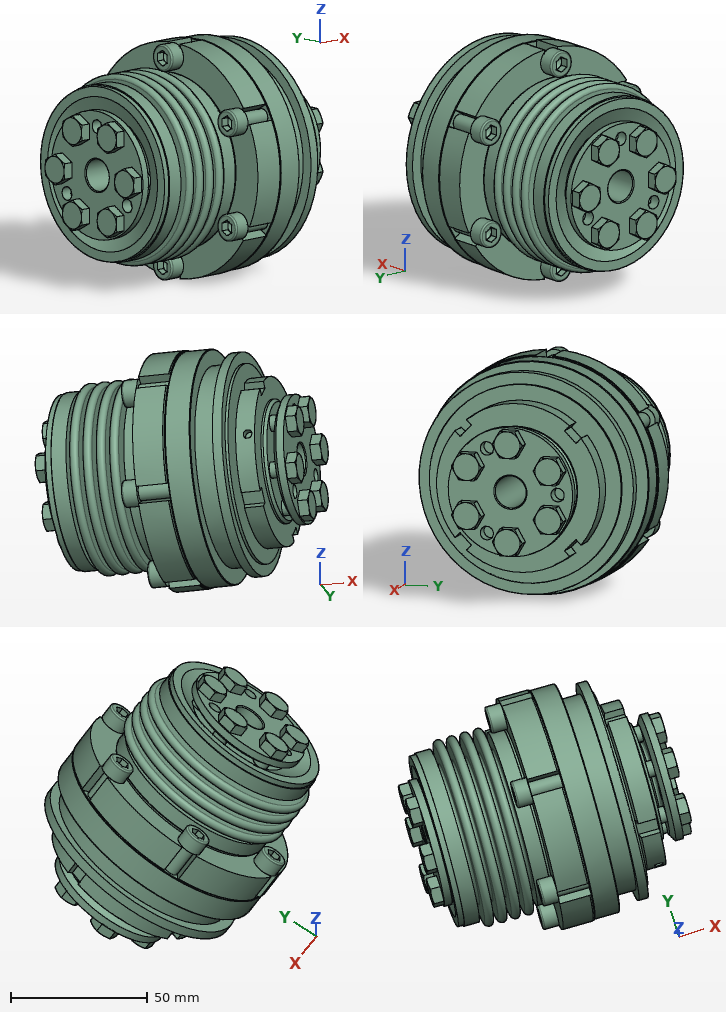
import cadquery as cq
import math

length = 99.0

head_height = 4.0
plate_diameter = 48.0
plate_thickness = 4.5
plate_rim = 2.9
plate_nose_diameter = 42.4
bore_diameter = 12.0
bore_chamfer = 0.4

bolt_circle = 36.4
bolt_count = 6
bolt_diameter = 6.0
hex_flats = 10.0
hex_chamfer = 0.3
jack_diameter = 5.0
jack_count = 3

hub_start = 6.7
hub_rim_diameter = 65.0
hub_flange_start = 8.9
hub_flange_diameter = 66.0
recess_diameter = 57.6
recess_floor_diameter = 41.6
recess_depth = 4.2
recess_floor = hub_start + recess_depth

bellows_start = 14.7
bellows_end = 36.7
bellows_diameter = 71.1
root_diameter = 52.3
convolution_count = 4
convolution_width = 3.4

bellows_flange_end = 42.5
slotted_start = 43.4
slotted_diameter = 88.0
slotted_step = 54.8
slotted_step_diameter = 87.7
slotted_end = 55.4
drive_diameter = 87.1
drive_end = 65.1
drive_chamfer = 0.3
bearing_diameter = 74.7
bearing_end = 73.1
flange_diameter = 82.8
flange_end = 76.6
shoulder_diameter = 74.1
shoulder_end = 77.7

screw_circle = 78.0
screw_count = 6
screw_diameter = 6.0
screw_head_diameter = 10.0
screw_head_height = 5.9
screw_head_fillet = 0.6
socket_flats = 5.0
socket_depth = 3.0
socket_cone_depth = 1.7
slot_width = 6.4

nut_start = 79.0
nut_end = 86.2
nut_diameter = 62.9
nut_face_diameter = 51.5
nut_notch_width = 6.2
nut_notch_count = 4
nut_notch_floor = 28.5
nut_hole_diameter = 3.3
nut_hole_depth = 3.0
nut_hole_x = 83.6

hub_diameter = 46.0
hub_end = length - recess_floor
hub_chamfer = 1.1
sleeve_diameter = 28.5
sleeve_taper_length = 1.1
sleeve_taper_depth = 2.5
sleeve_root_fillet = 0.5


def turned(points):
    """Revolve a closed outline of (x, radius) points about the X axis."""
    return cq.Workplane("XY").polyline(points).close().revolve(360, (0, 0, 0), (1, 0, 0))


def rod(x_start, x_end, diameter):
    """Cylinder on the X axis."""
    return cq.Workplane("YZ", origin=(x_start, 0, 0)).circle(diameter / 2).extrude(x_end - x_start)


def hexagon(x_start, x_end, flats):
    """Hexagonal prism on the X axis with corners at the top and bottom."""
    corners = flats / math.cos(math.pi / 6)
    prism = cq.Workplane("YZ").polygon(6, corners).extrude(x_end - x_start)
    return prism.rotate((0, 0, 0), (1, 0, 0), 90).translate((x_start, 0, 0))


def around(shape, circle, count, start_angle):
    """Copies of a shape spread round a circle, keeping their own orientation."""
    copies = cq.Workplane("XY")
    for index in range(count):
        angle = math.radians(start_angle + index * 360 / count)
        place = (0, circle / 2 * math.cos(angle), circle / 2 * math.sin(angle))
        copies = copies.add(shape.translate(place))
    return copies.combine()


def turned_about(shape, count, start_angle):
    """Copies of a shape spread round the X axis, turning with their angle from +Y."""
    copies = cq.Workplane("XY")
    for index in range(count):
        angle = start_angle + index * 360 / count
        copies = copies.add(shape.rotate((0, 0, 0), (1, 0, 0), angle))
    return copies.combine()


def mirrored_end(shape):
    """Right-hand copy of a left-hand clamp part, turned half a bolt pitch."""
    half_pitch = 180 / bolt_count
    flipped = shape.mirror("YZ").translate((length, 0, 0))
    return flipped.rotate((0, 0, 0), (1, 0, 0), half_pitch)


def clamp_plate():
    """Disc with a tapered inner nose and three jacking holes."""
    rim_end = head_height + plate_rim
    nose_end = head_height + plate_thickness
    plate = turned([
        (head_height, 0),
        (head_height, plate_diameter / 2),
        (rim_end, plate_diameter / 2),
        (nose_end, plate_nose_diameter / 2),
        (nose_end, 0),
    ])
    holes = around(rod(head_height, nose_end, jack_diameter), bolt_circle, jack_count, 90)
    return plate.cut(holes)


def clamp_bolts():
    """Ring of hex bolts with chamfered heads at the left end."""
    corner_radius = hex_flats / 2 / math.cos(math.pi / 6)
    chamfer_cone = turned([
        (0, 0),
        (0, hex_flats / 2),
        (hex_chamfer, corner_radius),
        (head_height, corner_radius),
        (head_height, 0),
    ])
    head = hexagon(0, head_height, hex_flats).intersect(chamfer_cone)
    bolt = head.union(rod(head_height, recess_floor, bolt_diameter))
    return around(bolt, bolt_circle, bolt_count, 0)


def left_hub():
    """Stepped hub with a conical recess in which the clamp plate sits."""
    hub = rod(hub_start, hub_flange_start, hub_rim_diameter)
    hub = hub.union(rod(hub_flange_start, bellows_start, hub_flange_diameter))
    recess = turned([
        (hub_start, 0),
        (hub_start, recess_diameter / 2),
        (recess_floor, recess_floor_diameter / 2),
        (recess_floor, 0),
    ])
    return hub.cut(recess)


def bellows():
    """Deep convolutions with round crests and round roots."""
    gap_count = convolution_count + 1
    gap = (bellows_end - bellows_start - convolution_count * convolution_width) / gap_count
    crest = bellows_diameter / 2
    crest_side = crest - convolution_width / 2
    root = root_diameter / 2
    root_side = root + gap / 2
    x = bellows_start
    outline = cq.Workplane("XY").moveTo(x, 0).lineTo(x, root_side)
    for index in range(gap_count):
        outline = outline.threePointArc((x + gap / 2, root), (x + gap, root_side))
        x += gap
        if index < convolution_count:
            outline = outline.lineTo(x, crest_side)
            outline = outline.threePointArc(
                (x + convolution_width / 2, crest), (x + convolution_width, crest_side))
            x += convolution_width
            outline = outline.lineTo(x, root_side)
    return outline.lineTo(x, 0).close().revolve(360, (0, 0, 0), (1, 0, 0))


def slotted_ring():
    """Ring with an open round-bottomed slot for each socket screw."""
    ring = rod(slotted_start, slotted_step, slotted_diameter)
    ring = ring.union(rod(slotted_step, slotted_end, slotted_step_diameter))
    width = slotted_end - slotted_start
    screw_radius = screw_circle / 2
    slot = rod(slotted_start, slotted_end, slot_width).translate((0, screw_radius, 0))
    mouth = cq.Workplane("XY").box(width, screw_radius, slot_width, centered=(False, False, True))
    slot = slot.union(mouth.translate((slotted_start, screw_radius, 0)))
    return ring.cut(turned_about(slot, screw_count, 90))


def socket_screws():
    """Cap screws whose shanks lie in the slots of the slotted ring."""
    head_start = slotted_start - screw_head_height
    head = rod(head_start, slotted_start, screw_head_diameter)
    head = head.faces("<X").edges().fillet(screw_head_fillet)
    socket_end = head_start + socket_depth
    drill_point = turned([
        (socket_end, 0),
        (socket_end, socket_flats / 2),
        (socket_end + socket_cone_depth, 0),
    ])
    head = head.cut(hexagon(head_start, socket_end, socket_flats)).cut(drill_point)
    screw = head.union(rod(slotted_start, slotted_end, screw_diameter))
    return around(screw, screw_circle, screw_count, 90)


def plain_rings():
    """The unslotted rings between the bellows and the adjusting nut."""
    rings = rod(bellows_end, bellows_flange_end, hub_flange_diameter)
    rings = rings.union(rod(bellows_flange_end, slotted_start, hub_rim_diameter))
    drive_ring = rod(slotted_end, drive_end, drive_diameter).edges().chamfer(drive_chamfer)
    rings = rings.union(drive_ring)
    rings = rings.union(rod(drive_end, bearing_end, bearing_diameter))
    rings = rings.union(rod(bearing_end, flange_end, flange_diameter))
    return rings.union(rod(flange_end, shoulder_end, shoulder_diameter))


def adjusting_nut():
    """Nut with a coned face, four spanner notches and a radial screw hole."""
    nut = turned([
        (shoulder_end, 0),
        (shoulder_end, nut_face_diameter / 2),
        (nut_start, nut_diameter / 2),
        (nut_end, nut_diameter / 2),
        (nut_end, 0),
    ])
    notch_length = nut_end - shoulder_end
    notch = cq.Workplane("XY").box(
        notch_length, nut_diameter, nut_notch_width, centered=(False, False, True))
    notch = notch.translate((shoulder_end, nut_notch_floor, 0))
    nut = nut.cut(turned_about(notch, nut_notch_count, 45))
    screw_hole = cq.Workplane("XZ", origin=(nut_hole_x, -nut_diameter / 2, 0))
    screw_hole = screw_hole.circle(nut_hole_diameter / 2).extrude(-nut_hole_depth)
    return nut.cut(screw_hole)


def right_hub():
    """Chamfered end of the hub that carries the adjusting nut."""
    return rod(nut_end, hub_end, hub_diameter).faces(">X").chamfer(hub_chamfer)


def clamp_sleeve():
    """Short sleeve on the left plate, rounded into the plate and tapered at its far end."""
    plate_end = head_height + plate_thickness
    sleeve_radius = sleeve_diameter / 2
    root_radius = sleeve_radius + sleeve_root_fillet
    taper_start = recess_floor - sleeve_taper_length
    outline = (
        cq.Workplane("XY")
        .moveTo(plate_end, 0)
        .lineTo(plate_end, root_radius)
        .radiusArc((plate_end + sleeve_root_fillet, sleeve_radius), -sleeve_root_fillet)
        .lineTo(taper_start, sleeve_radius)
        .lineTo(recess_floor, sleeve_radius - sleeve_taper_depth)
        .lineTo(recess_floor, 0)
        .close()
    )
    return outline.revolve(360, (0, 0, 0), (1, 0, 0))


def through_bore():
    """Bore along the whole axis, chamfered at both ends."""
    bore_radius = bore_diameter / 2
    mouth_radius = bore_radius + bore_chamfer
    plate_face = length - head_height
    return turned([
        (head_height, 0),
        (head_height, mouth_radius),
        (head_height + bore_chamfer, bore_radius),
        (plate_face - bore_chamfer, bore_radius),
        (plate_face, mouth_radius),
        (plate_face, 0),
    ])


plate = clamp_plate()
bolts = clamp_bolts()
sleeve = clamp_sleeve()

parts = [
    plate,
    bolts,
    sleeve,
    left_hub(),
    bellows(),
    plain_rings(),
    slotted_ring(),
    socket_screws(),
    adjusting_nut(),
    right_hub(),
    mirrored_end(plate),
    mirrored_end(bolts),
    mirrored_end(sleeve),
]

result = parts[0]
for part in parts[1:]:
    result = result.union(part)
result = result.cut(through_bore())